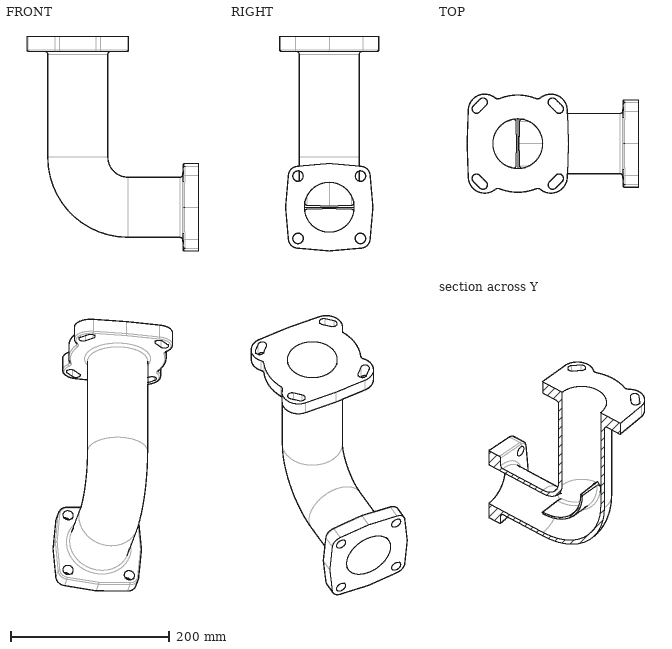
import cadquery as cq
import math

pipe_diameter = 76.3
pipe_radius = pipe_diameter / 2
bore_radius = 31.5
bend_radius = 63.2
inlet_face_z = 271.5
outlet_axis_z = 55.5
outlet_face_x = 152.5

flange_edge_fillet = 2.0
neck_fillet = 3.5

inlet_thickness = 19.3
inlet_lobe_offset = 41.8
inlet_lobe_radius = 21.0
inlet_side_angle = math.radians(2)
inlet_round_radius = 61.5
inlet_blend_radius = 5.5
slot_offset = 48.0
slot_width = 10.9
slot_length = 22.5

outlet_axis_thickness = 21.5
outlet_back_angle = math.radians(2)
outlet_bolt_offset = 39.4
outlet_corner_radius = 12.5
outlet_side_angle = math.radians(5)
outlet_hole_diameter = 13.0

vane_middle_half_thickness = 1.5
vane_draft_angle = math.radians(1.5)
vane_wall_fillet = 3.0
vane_tip_length = 2.04
vane_tip_cut_depth = 8.1


def bowed_half_width(corner_offset, corner_radius, angle):
    """Distance from the axis to the peak of a side sloping at the angle and tangent to the corners."""
    return corner_offset * (1 + math.tan(angle)) + corner_radius / math.cos(angle)


def point_on_circle(center, radius, angle):
    """Point of a circle at an angle measured from the first axis."""
    return (center[0] + radius * math.cos(angle), center[1] + radius * math.sin(angle))


def point_between(start, end, distance):
    """Point at the given distance from start toward end."""
    share = distance / math.dist(start, end)
    return (start[0] + share * (end[0] - start[0]), start[1] + share * (end[1] - start[1]))


def bar_along_centerline(radius):
    """Round bar following the pipe centerline between the two flange faces."""
    bend_start_z = outlet_axis_z + bend_radius
    bend_middle = point_on_circle((bend_radius, bend_start_z), bend_radius, math.radians(225))
    path = (
        cq.Workplane("XZ")
        .moveTo(0, inlet_face_z)
        .lineTo(0, bend_start_z)
        .threePointArc(bend_middle, (bend_radius, outlet_axis_z))
        .lineTo(outlet_face_x, outlet_axis_z)
    )
    return cq.Workplane("XY", origin=(0, 0, inlet_face_z)).circle(radius).sweep(path)


def inlet_quarter():
    """One quarter of the inlet flange, between its +X peak and its +Y peak."""
    lobe = (inlet_lobe_offset, inlet_lobe_offset)
    peak_x = bowed_half_width(inlet_lobe_offset, inlet_lobe_radius, inlet_side_angle)

    lobe_distance = math.hypot(*lobe)
    round_to_blend = inlet_round_radius + inlet_blend_radius
    lobe_to_blend = inlet_lobe_radius + inlet_blend_radius
    cosine_numerator = round_to_blend**2 + lobe_distance**2 - lobe_to_blend**2
    turn_from_lobe = math.acos(cosine_numerator / (2 * round_to_blend * lobe_distance))
    blend_angle = math.radians(45) + turn_from_lobe
    blend = point_on_circle((0, 0), round_to_blend, blend_angle)

    side_end = point_on_circle(lobe, inlet_lobe_radius, inlet_side_angle)
    lobe_middle = point_on_circle(lobe, inlet_lobe_radius, math.radians(60))
    lobe_end = point_between(lobe, blend, inlet_lobe_radius)
    round_start = point_on_circle((0, 0), inlet_round_radius, blend_angle)
    round_middle = point_on_circle((0, 0), inlet_round_radius, (blend_angle + math.radians(90)) / 2)
    chord_middle = ((lobe_end[0] + round_start[0]) / 2, (lobe_end[1] + round_start[1]) / 2)
    blend_middle = point_between(blend, chord_middle, inlet_blend_radius)
    return (
        cq.Workplane("XY")
        .lineTo(peak_x, 0)
        .lineTo(*side_end)
        .threePointArc(lobe_middle, lobe_end)
        .threePointArc(blend_middle, round_start)
        .threePointArc(round_middle, (0, inlet_round_radius))
        .close()
        .extrude(inlet_thickness)
    )


def outlet_quarter():
    """One quarter of the outlet flange, between the peaks of two neighboring sides."""
    corner = (outlet_bolt_offset, outlet_bolt_offset)
    peak = bowed_half_width(outlet_bolt_offset, outlet_corner_radius, outlet_side_angle)
    corner_start = point_on_circle(corner, outlet_corner_radius, outlet_side_angle)
    corner_middle = point_on_circle(corner, outlet_corner_radius, math.radians(45))
    corner_end = (corner_start[1], corner_start[0])
    return (
        cq.Workplane("XY")
        .lineTo(peak, 0)
        .lineTo(*corner_start)
        .threePointArc(corner_middle, corner_end)
        .lineTo(0, peak)
        .close()
        .extrude(outlet_axis_thickness)
    )


def mirrored_twice(quarter):
    """Whole flange made from its quarter in +X and +Y."""
    half = quarter.union(quarter.mirror("YZ"))
    return half.union(half.mirror("XZ")).clean()


def neck(back_angle):
    """Concave ring tangent to the pipe and to a flange back rising outward at the given angle."""
    center_x = pipe_radius + neck_fillet
    center_z = center_x * math.tan(back_angle) - neck_fillet / math.cos(back_angle)
    center = (center_x, center_z)
    profile = (
        cq.Workplane("XZ")
        .lineTo(*point_on_circle(center, neck_fillet, math.radians(90) + back_angle))
        .threePointArc(point_on_circle(center, neck_fillet, math.radians(135)), (pipe_radius, center_z))
        .lineTo(0, center_z)
        .close()
    )
    return profile.revolve(360, (0, 0, 0), (0, 1, 0))


def inlet_flange():
    """Inlet flange with four slots, each lying across its diagonal."""
    flange = mirrored_twice(inlet_quarter()).faces("<Z").edges().fillet(flange_edge_fillet)
    for x_sign in (-1, 1):
        for y_sign in (-1, 1):
            slot = (
                cq.Workplane("XY")
                .center(x_sign * slot_offset, y_sign * slot_offset)
                .slot2D(slot_length, slot_width, -45 * x_sign * y_sign)
                .extrude(inlet_thickness)
            )
            flange = flange.cut(slot)
    return flange.union(neck(0)).translate((0, 0, inlet_face_z - inlet_thickness))


def outlet_blank():
    """Outlet flange without holes, standing on the tip of its back cone."""
    cone_radius = 2 * outlet_bolt_offset
    cone_trim = (
        cq.Workplane("XZ")
        .lineTo(cone_radius, 0)
        .lineTo(cone_radius, cone_radius * math.tan(outlet_back_angle))
        .close()
        .revolve(360, (0, 0, 0), (0, 1, 0))
    )

    def on_back_rim(edge):
        """True for the outline edges of the back, but not for the seam of its cone."""
        center = edge.Center()
        is_near_back = edge.BoundingBox().zmax < outlet_axis_thickness / 2
        return is_near_back and math.hypot(center.x, center.y) > pipe_radius

    tapered = mirrored_twice(outlet_quarter()).cut(cone_trim)
    return tapered.edges().filter(on_back_rim).fillet(flange_edge_fillet)


def outlet_flange():
    """Outlet flange with four bolt holes, facing +X."""
    bolt_spacing = 2 * outlet_bolt_offset
    holes = (
        cq.Workplane("XY")
        .rect(bolt_spacing, bolt_spacing, forConstruction=True)
        .vertices()
        .circle(outlet_hole_diameter / 2)
        .extrude(outlet_axis_thickness)
    )
    flange = outlet_blank().cut(holes).union(neck(outlet_back_angle))
    facing_x = flange.rotate((0, 0, 0), (0, 1, 0), 90)
    return facing_x.translate((outlet_face_x - outlet_axis_thickness, 0, outlet_axis_z))


def vane_section():
    """The +Y half of the vane's cross-section, flaring into the bore wall by tangent fillets."""
    wall_overlap_radius = (bore_radius + pipe_radius) / 2
    fillet_center_distance = bore_radius - vane_wall_fillet
    face_gap = vane_wall_fillet + vane_middle_half_thickness * math.cos(vane_draft_angle)
    wall_angle = math.radians(90) - vane_draft_angle - math.asin(face_gap / fillet_center_distance)
    face_angle = math.radians(180) - vane_draft_angle
    center = point_on_circle((0, 0), fillet_center_distance, wall_angle)
    face_x, face_y = point_on_circle(center, vane_wall_fillet, face_angle)
    middle_x, middle_y = point_on_circle(center, vane_wall_fillet, (face_angle + wall_angle) / 2)
    wall_x, wall_y = point_on_circle((0, 0), bore_radius, wall_angle)
    overlap_x, overlap_y = point_on_circle((0, 0), wall_overlap_radius, wall_angle)
    return (
        cq.Workplane("XY", origin=(0, 0, outlet_axis_z + bend_radius))
        .moveTo(vane_middle_half_thickness, 0)
        .lineTo(face_x, face_y)
        .threePointArc((middle_x, middle_y), (wall_x, wall_y))
        .lineTo(overlap_x, overlap_y)
        .lineTo(-overlap_x, overlap_y)
        .lineTo(-wall_x, wall_y)
        .threePointArc((-middle_x, middle_y), (-face_x, face_y))
        .lineTo(-vane_middle_half_thickness, 0)
        .close()
    )


def splitter_vane():
    """Vane along the whole bend, with a wedge-shaped tip at each end."""
    bend_start_z = outlet_axis_z + bend_radius
    curved = vane_section().revolve(45, (bend_radius, 0), (bend_radius, -1))
    straight = vane_section().extrude(vane_tip_length)
    beside_wedge = (
        cq.Workplane("XZ", origin=(0, 0, bend_start_z + vane_tip_length))
        .lineTo(vane_tip_cut_depth, -vane_tip_cut_depth)
        .lineTo(vane_tip_cut_depth, vane_tip_cut_depth)
        .lineTo(-vane_tip_cut_depth, vane_tip_cut_depth)
        .lineTo(-vane_tip_cut_depth, -vane_tip_cut_depth)
        .close()
        .extrude(pipe_radius, both=True)
    )
    quarter = curved.union(straight).cut(beside_wedge)
    half = quarter.union(quarter.mirror("XZ"))
    other_half = half.rotate((bend_radius, 0, bend_start_z), (bend_radius + 2.7, 0, bend_start_z + 2.7), 180)
    return half.union(other_half)


def flow_passage():
    """Bore space left around the vane."""
    return bar_along_centerline(bore_radius).cut(splitter_vane())


outer_body = bar_along_centerline(pipe_radius).union(inlet_flange()).union(outlet_flange())
result = outer_body.cut(flow_passage())